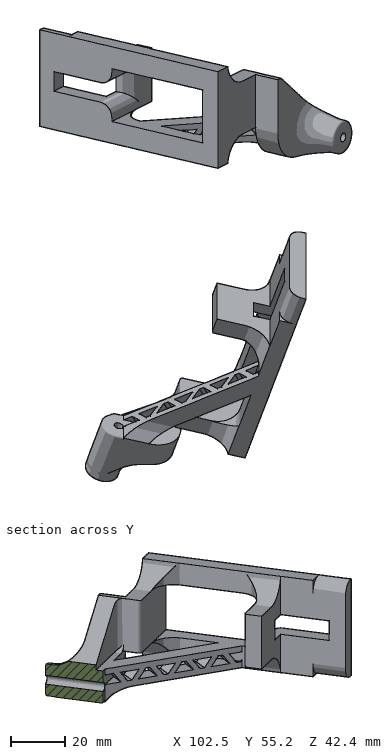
import cadquery as cq
import math

PLATE_LENGTH = 79.8
PLATE_THICK = 6.5
PLATE_HEIGHT = 38.0
MID_Z = PLATE_HEIGHT / 2
CORNER_ROUND = 5.0
CORNER_ROUND_LENGTH = 12.7

WINDOW_LEFT = 32.3
WINDOW_RIGHT = 72.9
WINDOW_HEIGHT = 20.8
WINDOW_BOTTOM = MID_Z - WINDOW_HEIGHT / 2
WINDOW_TOP = MID_Z + WINDOW_HEIGHT / 2

SLOT_LEFT = 6.4
SLOT_HEIGHT = 7.7
SLOT_DEPTH = 12.7
SLOT_MOUTH_ROUND = 5.0
SLOT_ROOF_ROUND = 6.3

ARM_THICK = PLATE_LENGTH - WINDOW_RIGHT
ARM_END = 26.9
ARM_TIP_ROUND = 1.0
FLARE_RADIUS = 10.0
ARM_INNER_RADIUS = 8.5

BRACKET_WIDTH = 9.9
BRACKET_RIGHT = PLATE_LENGTH + BRACKET_WIDTH
BRACKET_FRONT = 24.7
BRACKET_ROUND = 12.5
PIVOT_RADIUS = 6.5
PIVOT_Y = 48.7
PIVOT_Z = WINDOW_BOTTOM - PIVOT_RADIUS
BRACKET_BOTTOM = PIVOT_Z - PIVOT_RADIUS
BRACKET_EDGE_ROUND = 0.7
RELIEF_DEPTH = 2.8
RELIEF_ROUND = 2.5

PART_LENGTH = 102.5
BOSS_RADIUS = 6.4
BOSS_END_ROUND = 0.9
PIVOT_HOLE_DIAMETER = 3.3

BRACE_START_X = 40.6
BRACE_WIDTH_X = 9.5
BRACE_END_Y = 46.7
BRACE_RUN_X = PLATE_LENGTH - BRACE_START_X
BRACE_RUN_Y = BRACE_END_Y - PLATE_THICK
BRACE_ANGLE = math.atan2(BRACE_RUN_Y, BRACE_RUN_X)
BRACE_FILLET_RUN = 8.2
TRUSS_BAY_COUNT = 8
TRUSS_PITCH_Y = 5.3
TRUSS_FIRST_Y = 7.5
TRUSS_WIDE_Y = 5.4
TRUSS_NARROW_Y = 1.2
TRUSS_BOTTOM = 2.5
TRUSS_TOP = 6.3


def box(x0, x1, y0, y1, z0, z1):
    """Box between two opposite corners."""
    return cq.Workplane("XY").box(x1 - x0, y1 - y0, z1 - z0, centered=False).translate((x0, y0, z0))


def circle_point(center, radius, degrees):
    """Point on a circle at an angle in degrees."""
    angle = math.radians(degrees)
    return (center[0] + radius * math.cos(angle), center[1] + radius * math.sin(angle))


def extrude_yz(outline, x0, x1):
    """Extrude a closed YZ outline between two X positions."""
    return outline.extrude(x1 - x0).translate((x0, 0, 0))


def make_plate():
    """Plate whose left end has rounded upper and lower rear edges."""
    left_end = box(0, CORNER_ROUND_LENGTH, 0, PLATE_THICK, 0, PLATE_HEIGHT)
    left_end = left_end.edges("|X and >Y").fillet(CORNER_ROUND)
    return box(CORNER_ROUND_LENGTH, PLATE_LENGTH, 0, PLATE_THICK, 0, PLATE_HEIGHT).union(left_end)


def make_arm_plan(outer_x, inward):
    """Arm seen along Z: a bar with a rounded tip and a flared inner foot."""
    inner_x = outer_x + inward * ARM_THICK
    tip_center = (inner_x - inward * ARM_TIP_ROUND, ARM_END - ARM_TIP_ROUND)
    tip_mid = circle_point(tip_center, ARM_TIP_ROUND, 90 - inward * 45)
    flare_center = (inner_x + inward * ARM_INNER_RADIUS, PLATE_THICK + ARM_INNER_RADIUS)
    flare_mid = circle_point(flare_center, ARM_INNER_RADIUS, 270 - inward * 45)
    return (
        cq.Workplane("XY")
        .moveTo(outer_x, PLATE_THICK)
        .lineTo(outer_x, ARM_END)
        .lineTo(tip_center[0], ARM_END)
        .threePointArc(tip_mid, (inner_x, tip_center[1]))
        .lineTo(inner_x, flare_center[1])
        .threePointArc(flare_mid, (flare_center[0], PLATE_THICK))
        .close()
        .extrude(PLATE_HEIGHT)
    )


def make_arm_side():
    """Side shape shared by both arms: a bar that flares to the plate above and below."""
    straight_start = PLATE_THICK + FLARE_RADIUS
    bar = box(0, PLATE_LENGTH, PLATE_THICK, ARM_END, WINDOW_BOTTOM, WINDOW_TOP)
    foot = box(0, PLATE_LENGTH, PLATE_THICK, straight_start, 0, PLATE_HEIGHT)
    for center_z in (WINDOW_TOP + FLARE_RADIUS, WINDOW_BOTTOM - FLARE_RADIUS):
        circle = cq.Workplane("YZ").center(straight_start, center_z).circle(FLARE_RADIUS)
        foot = foot.cut(circle.extrude(PLATE_LENGTH))
    return bar.union(foot)


def make_arms():
    plan = make_arm_plan(WINDOW_LEFT - ARM_THICK, 1).union(make_arm_plan(PLATE_LENGTH, -1))
    return plan.intersect(make_arm_side())


def make_window():
    return box(WINDOW_LEFT, WINDOW_RIGHT, 0, ARM_END, WINDOW_BOTTOM, WINDOW_TOP)


def make_slot():
    """Slot with a rounded mouth at the window and a roof that curves up into the arm."""
    low = MID_Z - SLOT_HEIGHT / 2
    high = MID_Z + SLOT_HEIGHT / 2
    mouth_x = WINDOW_LEFT - SLOT_MOUTH_ROUND
    lower_mid = circle_point((mouth_x, low - SLOT_MOUTH_ROUND), SLOT_MOUTH_ROUND, 45)
    upper_mid = circle_point((mouth_x, high + SLOT_MOUTH_ROUND), SLOT_MOUTH_ROUND, -45)
    full_depth = SLOT_DEPTH + SLOT_ROOF_ROUND
    opening = (
        cq.Workplane("XZ")
        .moveTo(SLOT_LEFT, low)
        .lineTo(mouth_x, low)
        .threePointArc(lower_mid, (WINDOW_LEFT, low - SLOT_MOUTH_ROUND))
        .lineTo(WINDOW_LEFT, high + SLOT_MOUTH_ROUND)
        .threePointArc(upper_mid, (mouth_x, high))
        .lineTo(SLOT_LEFT, high)
        .close()
        .extrude(-full_depth)
    )
    roof_x = WINDOW_LEFT - SLOT_ROOF_ROUND
    roof_mid = circle_point((roof_x, full_depth), SLOT_ROOF_ROUND, -45)
    depth_plan = (
        cq.Workplane("XY")
        .moveTo(SLOT_LEFT, 0)
        .lineTo(SLOT_LEFT, SLOT_DEPTH)
        .lineTo(roof_x, SLOT_DEPTH)
        .threePointArc(roof_mid, (WINDOW_LEFT, full_depth))
        .lineTo(WINDOW_LEFT, 0)
        .close()
        .extrude(PLATE_HEIGHT)
    )
    return opening.intersect(depth_plan)


def bracket_outline():
    """YZ outline: upright front, rounded lower front, pivot end and a gusset slope tangent to it."""
    rise_y = ARM_END - PIVOT_Y
    rise_z = WINDOW_TOP - PIVOT_Z
    to_corner = math.degrees(math.atan2(rise_z, rise_y))
    tangent_angle = to_corner - math.degrees(math.acos(PIVOT_RADIUS / math.hypot(rise_y, rise_z)))
    pivot = (PIVOT_Y, PIVOT_Z)
    round_center = (BRACKET_FRONT + BRACKET_ROUND, BRACKET_BOTTOM + BRACKET_ROUND)
    return (
        cq.Workplane("YZ")
        .moveTo(BRACKET_FRONT, WINDOW_TOP)
        .lineTo(ARM_END, WINDOW_TOP)
        .lineTo(*circle_point(pivot, PIVOT_RADIUS, tangent_angle))
        .threePointArc(circle_point(pivot, PIVOT_RADIUS, 0), (PIVOT_Y, BRACKET_BOTTOM))
        .lineTo(round_center[0], BRACKET_BOTTOM)
        .threePointArc(circle_point(round_center, BRACKET_ROUND, 225), (BRACKET_FRONT, round_center[1]))
        .close()
    )


def make_relief():
    """Shallow relief in the inner face of the gusset, level with the top of the brace."""
    back = PLATE_LENGTH + RELIEF_DEPTH
    end_y = PIVOT_Y + PIVOT_RADIUS
    corner = box(PLATE_LENGTH, back, ARM_END, end_y, WINDOW_BOTTOM, WINDOW_TOP)
    upright_round = corner.edges("|Z and <Y and >X").fillet(RELIEF_ROUND)
    floor_round = corner.edges("|X and <Y and <Z").fillet(RELIEF_ROUND)
    return upright_round.intersect(floor_round)


def make_bracket():
    """Bracket with the relief, and a rounded inner edge around its pivot end."""
    bracket = extrude_yz(bracket_outline(), PLATE_LENGTH, BRACKET_RIGHT).cut(make_relief())
    end_y = PIVOT_Y + PIVOT_RADIUS
    end_block = box(PLATE_LENGTH, BRACKET_RIGHT, BRACE_END_Y, end_y, BRACKET_BOTTOM, WINDOW_TOP)
    sharp_end = bracket.intersect(end_block)
    face_edges = sharp_end.faces("<X").edges("not(|Z or >Z or <Y)")
    round_end = face_edges.fillet(BRACKET_EDGE_ROUND)
    return bracket.cut(end_block).union(round_end)


def make_boss():
    """Round boss whose flared root stays inside the bracket outline."""
    flare_end = BRACKET_RIGHT + FLARE_RADIUS
    flare_center = (flare_end, BOSS_RADIUS + FLARE_RADIUS)
    round_center = (PART_LENGTH - BOSS_END_ROUND, BOSS_RADIUS - BOSS_END_ROUND)
    boss = (
        cq.Workplane("XY")
        .moveTo(BRACKET_RIGHT, 0)
        .lineTo(BRACKET_RIGHT, flare_center[1])
        .threePointArc(circle_point(flare_center, FLARE_RADIUS, 225), (flare_end, BOSS_RADIUS))
        .lineTo(round_center[0], BOSS_RADIUS)
        .threePointArc(circle_point(round_center, BOSS_END_ROUND, 45), (PART_LENGTH, round_center[1]))
        .lineTo(PART_LENGTH, 0)
        .close()
        .revolve(360, (0, 0, 0), (1, 0, 0))
        .translate((0, PIVOT_Y, PIVOT_Z))
    )
    return boss.intersect(extrude_yz(bracket_outline(), BRACKET_RIGHT, PART_LENGTH))


def make_truss_bay(center_y, wide_end_up):
    """Trapezoid opening that crosses the brace at right angles."""
    along = (center_y - PLATE_THICK) / math.sin(BRACE_ANGLE)
    wide = TRUSS_WIDE_Y / math.sin(BRACE_ANGLE)
    narrow = TRUSS_NARROW_Y / math.sin(BRACE_ANGLE)
    top, bottom = (wide, narrow) if wide_end_up else (narrow, wide)
    points = [
        (along - bottom / 2, TRUSS_BOTTOM),
        (along + bottom / 2, TRUSS_BOTTOM),
        (along + top / 2, TRUSS_TOP),
        (along - top / 2, TRUSS_TOP),
    ]
    if center_y + TRUSS_PITCH_Y / 2 > BRACE_END_Y:
        points[1] = (along + wide, TRUSS_BOTTOM)
        points[2] = (along + wide, TRUSS_TOP)
    plane = cq.Plane(
        origin=(BRACE_START_X, PLATE_THICK, 0),
        xDir=(math.cos(BRACE_ANGLE), math.sin(BRACE_ANGLE), 0),
        normal=(math.sin(BRACE_ANGLE), -math.cos(BRACE_ANGLE), 0),
    )
    return cq.Workplane(plane).polyline(points).close().extrude(BRACE_WIDTH_X)


def make_brace():
    """Diagonal brace with a curved underside that drops to the bottom of the bracket."""
    slope = BRACE_RUN_Y / BRACE_RUN_X
    plan = (
        cq.Workplane("XY", origin=(0, 0, BRACKET_BOTTOM))
        .moveTo(BRACE_START_X, PLATE_THICK)
        .lineTo(PLATE_LENGTH, BRACE_END_Y)
        .lineTo(PLATE_LENGTH, BRACE_END_Y - BRACE_WIDTH_X * slope)
        .lineTo(BRACE_START_X + BRACE_WIDTH_X, PLATE_THICK)
        .close()
        .extrude(WINDOW_BOTTOM - BRACKET_BOTTOM)
    )
    start_x = PLATE_LENGTH - BRACE_FILLET_RUN
    drop_angle = math.degrees(math.asin(BRACE_FILLET_RUN / FLARE_RADIUS))
    curve_mid = circle_point((start_x, -FLARE_RADIUS), FLARE_RADIUS, 90 - drop_angle / 2)
    side = (
        cq.Workplane("XZ")
        .moveTo(BRACE_START_X, 0)
        .lineTo(start_x, 0)
        .threePointArc(curve_mid, (PLATE_LENGTH, BRACKET_BOTTOM))
        .lineTo(PLATE_LENGTH, WINDOW_BOTTOM)
        .lineTo(BRACE_START_X, WINDOW_BOTTOM)
        .close()
        .extrude(-BRACE_END_Y)
    )
    brace = plan.intersect(side)
    for bay in range(TRUSS_BAY_COUNT):
        brace = brace.cut(make_truss_bay(TRUSS_FIRST_Y + bay * TRUSS_PITCH_Y, bay % 2 == 0))
    return brace


def make_pivot_hole():
    hole = cq.Workplane("YZ").center(PIVOT_Y, PIVOT_Z).circle(PIVOT_HOLE_DIAMETER / 2)
    return extrude_yz(hole, PLATE_LENGTH, PART_LENGTH)


frame = make_plate().union(make_arms()).cut(make_window()).cut(make_slot())
swivel = make_bracket().union(make_boss())
result = frame.union(make_brace()).union(swivel).cut(make_pivot_hole())